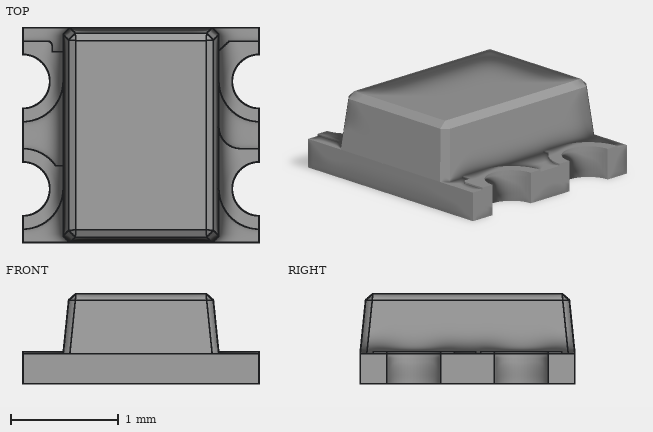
import cadquery as cq
import math

board_length = 2.2
board_width = 2.0
board_thickness = 0.28
half_length = board_length / 2

notch_radius = 0.25
notch_y = 0.5
pad_radius = 0.375
pad_thickness = 0.02

total_height = 0.84
lens_height = total_height - board_thickness
lens_half_length = half_length - pad_radius
lens_taper = 5.85
lens_chamfer = 0.0625

step_x = -0.827
step_y = 0.776
step_fillet = 0.045
bevel_start_x = 0.822
bevel_end_y = 0.786
shoulder_y = -0.283
flare_radius = 0.2
flare_overlap = 0.1


def make_board():
    """Plain plate with two notches in each end."""
    notch_centers = [(x, y) for x in (-half_length, half_length) for y in (-notch_y, notch_y)]
    plate = cq.Workplane("XY").box(board_length, board_width, board_thickness, centered=(True, True, False))
    return plate.faces(">Z").workplane().pushPoints(notch_centers).hole(2 * notch_radius)


def make_lens():
    """Block with four sloping sides and chamfers on all edges except those on the board."""
    bottom_x = 2 * lens_half_length
    top_x = bottom_x - 2 * lens_height * math.tan(math.radians(lens_taper))
    top_y = board_width - 2 * lens_height * math.tan(math.radians(lens_taper))
    block = (
        cq.Workplane("XY", origin=(0, 0, board_thickness))
        .rect(bottom_x, board_width)
        .workplane(offset=lens_height)
        .rect(top_x, top_y)
        .loft(ruled=True)
    )
    return block.edges("not <Z").chamfer(lens_chamfer)


def start_pad(side, center_y):
    """Begin a pad outline at the lens and follow its lower quarter ring to the board end."""
    end_x = side * half_length
    diagonal = pad_radius * math.sqrt(0.5)
    return (
        cq.Workplane("XY", origin=(0, 0, board_thickness))
        .moveTo(side * lens_half_length, center_y)
        .threePointArc((end_x - side * diagonal, center_y - diagonal), (end_x, center_y - pad_radius))
        .lineTo(end_x, center_y - notch_radius)
        .threePointArc((end_x - side * notch_radius, center_y), (end_x, center_y + notch_radius))
        .lineTo(end_x, center_y + pad_radius)
    )


def finish_pad(outline):
    """Close a pad outline along the lens and give it the copper thickness."""
    return outline.close().extrude(pad_thickness)


def make_stepped_pad():
    """Pad at -X +Y: straight outer edge with a rounded corner and a step down to the lens."""
    outline = (
        start_pad(-1, notch_y)
        .lineTo(step_x - step_fillet, notch_y + pad_radius)
        .radiusArc((step_x, notch_y + pad_radius - step_fillet), step_fillet)
        .lineTo(step_x, step_y)
        .lineTo(-lens_half_length, step_y)
    )
    return finish_pad(outline)


def make_shouldered_pad():
    """Pad at -X -Y: ring that runs in to a straight shoulder beside the lens."""
    rise = shoulder_y + notch_y
    shoulder_x = -half_length + math.sqrt(pad_radius**2 - rise**2)
    outline = (
        start_pad(-1, -notch_y)
        .radiusArc((shoulder_x, shoulder_y), pad_radius)
        .lineTo(-lens_half_length, shoulder_y)
    )
    return finish_pad(outline)


def make_bevelled_pad():
    """Pad at +X +Y: straight outer edge with a sloping corner at the lens."""
    outline = (
        start_pad(1, notch_y)
        .lineTo(bevel_start_x, notch_y + pad_radius)
        .lineTo(lens_half_length, bevel_end_y)
    )
    return finish_pad(outline)


def make_flared_pad():
    """Pad at +X -Y: straight inner edge that flares along the lens in a hollow curve and reaches under it."""
    edge_y = -notch_y + pad_radius
    flare_x = lens_half_length + flare_radius
    outline = (
        start_pad(1, -notch_y)
        .lineTo(flare_x, edge_y)
        .radiusArc((lens_half_length, edge_y + flare_radius), flare_radius)
        .lineTo(lens_half_length - flare_overlap, edge_y + flare_radius)
        .lineTo(lens_half_length - flare_overlap, -notch_y)
    )
    return finish_pad(outline)


board = make_board()
stepped_pad = make_stepped_pad()
shouldered_pad = make_shouldered_pad()
bevelled_pad = make_bevelled_pad()
flared_pad = make_flared_pad()
lens = make_lens().cut(flared_pad)

result = cq.Compound.makeCompound(
    [
        board.val(),
        stepped_pad.val(),
        shouldered_pad.val(),
        bevelled_pad.val(),
        flared_pad.val(),
        lens.val(),
    ]
)